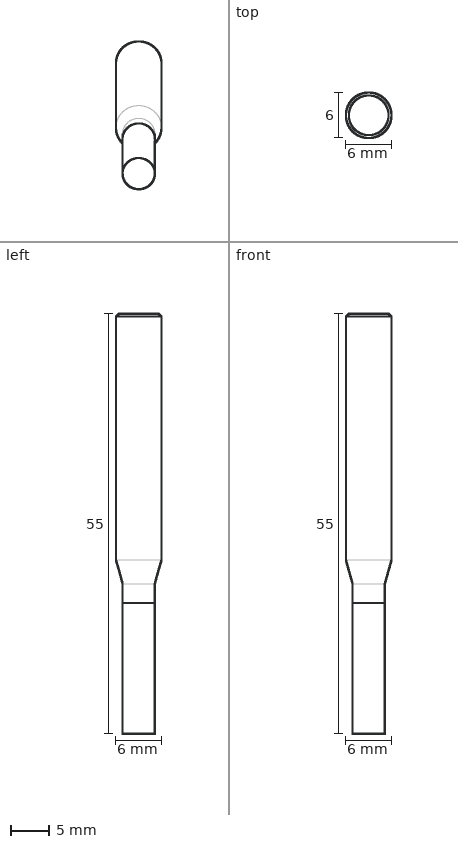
import cadquery as cq

total_length = 55.0
shank_diameter = 6.0
slim_diameter = 4.25
tip_length = 17.15
neck_length = 2.5
taper_length = 3.1
end_chamfer = 0.4

shank_radius = shank_diameter / 2
slim_radius = slim_diameter / 2

neck_start = tip_length
taper_start = neck_start + neck_length
shank_start = taper_start + taper_length


def make_tip():
    """Plain cylinder forming the slim lower end."""
    return cq.Workplane("XY").circle(slim_radius).extrude(tip_length)


def make_shank():
    """Neck, cone and chamfered shank, revolved from a half profile in (radius, height)."""
    return (
        cq.Workplane("XZ")
        .moveTo(0, neck_start)
        .lineTo(slim_radius, neck_start)
        .lineTo(slim_radius, taper_start)
        .lineTo(shank_radius, shank_start)
        .lineTo(shank_radius, total_length - end_chamfer)
        .lineTo(shank_radius - end_chamfer, total_length)
        .lineTo(0, total_length)
        .close()
        .revolve(360, (0, 0), (0, 1))
    )


tip = make_tip()
shank = make_shank()

result = cq.Compound.makeCompound([tip.val(), shank.val()])